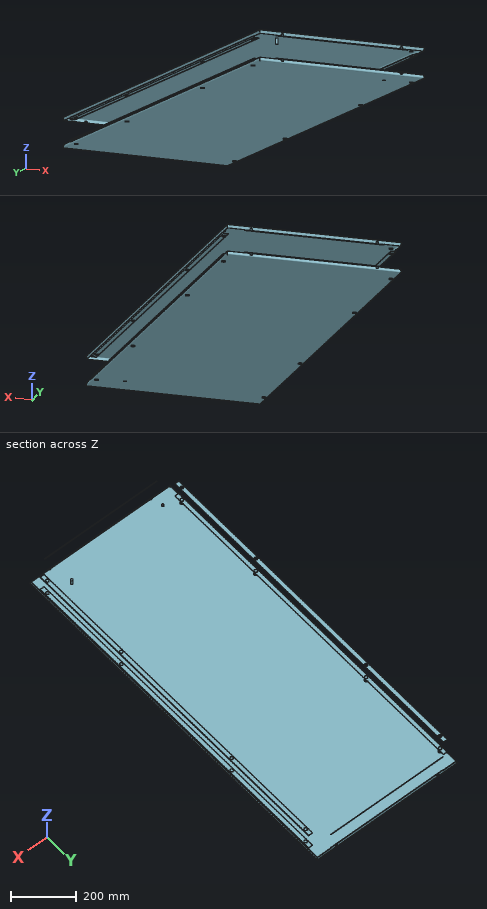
import cadquery as cq
import math

length = 1366.0
width = 567.0
height = 100.0
half_width = width / 2
half_length = length / 2

sheet = 1.5
bend_radius = 3.4
wall_depth = 12.0
wall_lean = 13.5
lean = math.radians(wall_lean)

lip_depth = 18.0
lip_inset = 3.0
lip_width = 16.0
lip_end_gap = 45.0

tab_depth = 15.0
tab_corner_gap = 57.0

sheet_hole_diameter = 12.0
lip_hole_diameter = 11.0
hole_inset = 12.0
hole_end_distances = (70.0, 421.0)

tab_hole_diameter = 8.0
tab_hole_inset = 79.0
tab_hole_depth = 10.2

stud_diameter = 8.0
stud_depth = 20.0
stud_inset = 100.0
stud_end_distance = 82.0

SIDES = (-1, 1)


def rim_overhang(radius):
    """Distance by which the sharp corner of top and wall lies beyond the rounded rim."""
    return radius * (1 / math.cos(lean) + math.tan(lean) - 1)


def leaning_prism(half_span, top, radius, run):
    """Prism along Y whose two sides lean inwards from rounded upper edges at the half span."""
    top_x = half_span + rim_overhang(radius)
    foot_x = top_x - (wall_depth + top) * math.tan(lean)
    outline = [(-top_x, top), (top_x, top), (foot_x, -wall_depth), (-foot_x, -wall_depth)]
    return (
        cq.Workplane("XZ")
        .polyline(outline)
        .close()
        .extrude(run, both=True)
        .edges("|Y and >Z")
        .fillet(radius)
    )


def leaning_block(inset, top, radius):
    """Block with four leaning sides and a rounded top rim, set in from the envelope."""
    across = leaning_prism(half_width - inset, top, radius, length)
    along = leaning_prism(half_length - inset, top, radius, length)
    return across.intersect(along.rotate((0, 0, 0), (0, 0, 1), 90))


def make_tray():
    """Sheet of even thickness with leaning walls, open underneath, outer face on z = 0."""
    outer = leaning_block(0, 0, bend_radius)
    cavity = leaning_block(sheet, -sheet, bend_radius - sheet)
    return outer.cut(cavity)


def wall_foot_inset():
    """Inset of a wall's outer face at its lower edge."""
    return wall_depth * math.tan(lean) - rim_overhang(bend_radius)


def make_lip(side):
    """L-shaped lip that hangs from a long wall and turns inwards."""
    lip_length = length - 2 * lip_end_gap
    outer_x = half_width - lip_inset
    outline = [
        (outer_x, sheet - wall_depth),
        (outer_x, -lip_depth),
        (outer_x - lip_width, -lip_depth),
        (outer_x - lip_width, sheet - lip_depth),
        (outer_x - sheet, sheet - lip_depth),
        (outer_x - sheet, sheet - wall_depth),
    ]
    return (
        cq.Workplane("XZ", origin=(0, lip_length / 2, 0))
        .polyline([(side * x, z) for x, z in outline])
        .close()
        .extrude(lip_length)
    )


def make_tab(side):
    """Upright strip that deepens the middle of a short wall."""
    center_y = half_length - wall_foot_inset() - sheet / 2
    return (
        cq.Workplane("XY", origin=(0, side * center_y, -wall_depth))
        .rect(width - 2 * tab_corner_gap, sheet)
        .extrude(wall_depth - tab_depth)
    )


def fixing_drill(diameter, depth):
    """Cylinders at all the fixing points, from z = 0 down to the given depth."""
    points = [
        (x_side * (half_width - hole_inset), y_side * (half_length - distance))
        for x_side in SIDES
        for y_side in SIDES
        for distance in hole_end_distances
    ]
    return cq.Workplane("XY").pushPoints(points).circle(diameter / 2).extrude(-depth)


def tab_hole_drill():
    """Cylinders that pass along Y through both tabs."""
    points = [(side * (half_width - tab_hole_inset), -tab_hole_depth) for side in SIDES]
    return (
        cq.Workplane("XZ")
        .pushPoints(points)
        .circle(tab_hole_diameter / 2)
        .extrude(half_length, both=True)
    )


def make_stud():
    return (
        cq.Workplane("XY", origin=(stud_inset - half_width, stud_end_distance - half_length, -sheet))
        .circle(stud_diameter / 2)
        .extrude(sheet - stud_depth)
    )


def make_panel():
    """One complete panel with its flat face on z = 0, facing up."""
    panel = make_tray()
    for side in SIDES:
        panel = panel.union(make_lip(side)).union(make_tab(side))
    panel = panel.cut(fixing_drill(sheet_hole_diameter, wall_depth))
    panel = panel.cut(fixing_drill(lip_hole_diameter, lip_depth))
    panel = panel.cut(tab_hole_drill())
    return panel.union(make_stud())


upper_panel = make_panel().translate((0, 0, height / 2))
lower_panel = upper_panel.rotate((0, 0, 0), (0, 1, 0), 180)

result = cq.Compound.makeCompound([upper_panel.val(), lower_panel.val()])